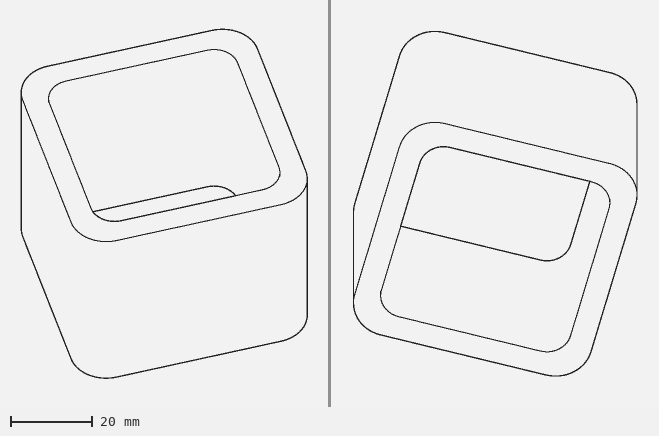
import cadquery as cq

outer_width = 60.0
height = 50.0
wall = 6.0
outer_corner_radius = 9.0
inner_corner_radius = 6.0

inner_width = outer_width - 2 * wall


def rounded_square_prism(width, corner_radius):
    """Upright square prism with its four vertical edges rounded."""
    return (
        cq.Workplane("XY")
        .rect(width, width)
        .extrude(height)
        .edges("|Z")
        .fillet(corner_radius)
    )


outer_body = rounded_square_prism(outer_width, outer_corner_radius)
bore = rounded_square_prism(inner_width, inner_corner_radius)

result = outer_body.cut(bore)